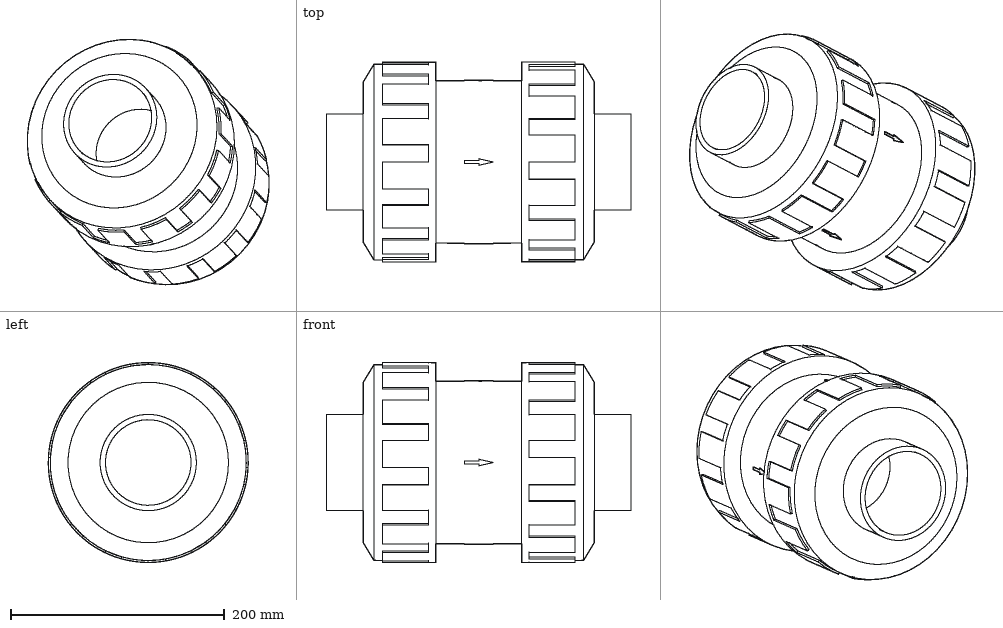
import cadquery as cq
import math


overall_length = 285.0
pipe_radius = 45.0
bore_radius = 40.0

body_radius = 76.0

nut_inner_end = 40.0
nut_outer_end = 108.0
nut_radius = 93.5
collar_radius = 91.6
nut_face_radius = 75.0
bevel_length = 10.0

groove_count = 14
groove_angle = 10.0
groove_start = 46.8
groove_end = 90.0

arrow_count = 4
arrow_tail_length = 13.4
arrow_head_length = 13.4
arrow_shaft_width = 2.6
arrow_head_width = 6.2
arrow_height = 0.7

half_length = overall_length / 2
bevel_start = nut_outer_end - bevel_length
bore_end = nut_inner_end


def cylinder_along_x(radius, start, end):
    """Cylinder on the X axis between two X positions."""
    return cq.Workplane("YZ", origin=(start, 0, 0)).circle(radius).extrude(end - start)


def make_groove_sector():
    """Wedge from the axis past the nut radius, with one side on the XZ plane above the axis."""
    reach = 1.2 * nut_radius
    width_at_reach = reach * math.tan(math.radians(groove_angle))
    return (
        cq.Workplane("YZ", origin=(groove_start, 0, 0))
        .polyline([(0, 0), (0, reach), (-width_at_reach, reach)])
        .close()
        .extrude(groove_end - groove_start)
    )


def make_grip_ring():
    """Ring standing on the collar radius, divided into ribs by the grip grooves."""
    ring = cylinder_along_x(nut_radius, nut_inner_end, groove_end)
    ring = ring.cut(cylinder_along_x(collar_radius, nut_inner_end, groove_end))
    sector = make_groove_sector()
    for index in range(groove_count):
        ring = ring.cut(sector.rotate((0, 0, 0), (1, 0, 0), index * 360 / groove_count))
    return ring


def make_nut():
    """Bevelled union nut on the +X side with its grip ring."""
    profile = [
        (nut_inner_end, 0),
        (nut_inner_end, collar_radius),
        (bevel_start, collar_radius),
        (nut_outer_end, nut_face_radius),
        (nut_outer_end, 0),
    ]
    core = cq.Workplane("XY").polyline(profile).close().revolve(360, (0, 0, 0), (1, 0, 0))
    return core.union(make_grip_ring())


def make_end():
    """Nut, pipe stub and blind bore of the +X end."""
    stub = cylinder_along_x(pipe_radius, nut_inner_end, half_length)
    bore = cylinder_along_x(bore_radius, bore_end, half_length)
    return make_nut().union(stub).cut(bore)


def make_arrow():
    """Arrow on top of the body pointing to +X, its top face concentric with the body."""
    half_shaft = arrow_shaft_width / 2
    half_head = arrow_head_width / 2
    outline = [
        (-arrow_tail_length, -half_shaft),
        (0, -half_shaft),
        (0, -half_head),
        (arrow_head_length, 0),
        (0, half_head),
        (0, half_shaft),
        (-arrow_tail_length, half_shaft),
    ]
    prism = cq.Workplane("XY").polyline(outline).close().extrude(nut_radius)
    envelope = cylinder_along_x(body_radius + arrow_height, -nut_inner_end, nut_inner_end)
    return prism.intersect(envelope)


body = cylinder_along_x(body_radius, -nut_inner_end, nut_inner_end)
arrow = make_arrow()
for index in range(arrow_count):
    body = body.union(arrow.rotate((0, 0, 0), (1, 0, 0), index * 360 / arrow_count))

right_end = make_end()
left_end = right_end.rotate((0, 0, 0), (0, 0, 1), 180)

result = body.union(right_end).union(left_end)